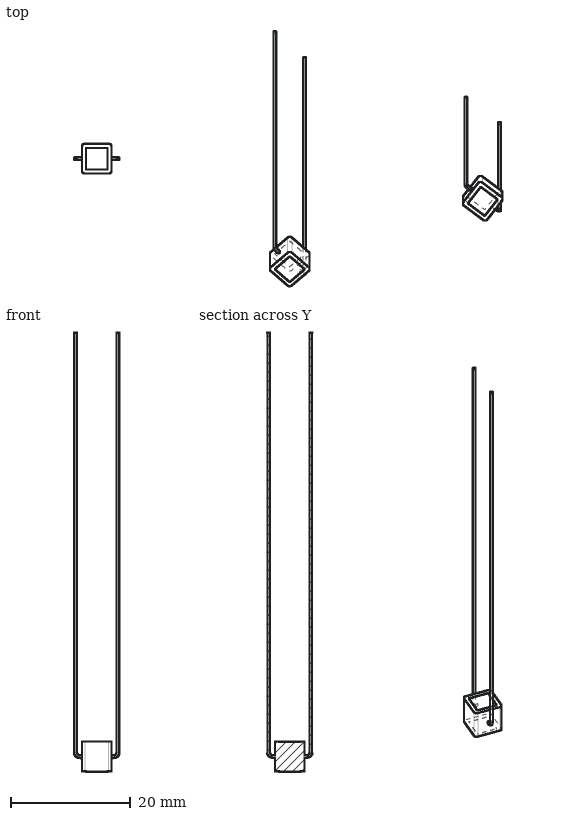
import cadquery as cq

overall_width = 7.56
overall_height = 73.26
body_side = 5.0
body_height = 5.0
body_corner_radius = 0.5
core_side = 3.53
core_offset = 0.06
wire_diameter = 0.5
wire_exit_height = 2.45
bend_rise = 0.75

body_half = body_side / 2
wire_radius = wire_diameter / 2
wire_leg_x = overall_width / 2 - wire_radius
wire_top = overall_height - core_offset
bend_top = wire_exit_height + bend_rise


def make_body():
    """Square block with rounded upright edges."""
    block = cq.Workplane("XY").box(body_side, body_side, body_height, centered=(True, True, False))
    return block.edges("|Z").fillet(body_corner_radius)


def make_core_slab(bottom):
    """Shallow square slab, used for both the foot and the recess."""
    slab = cq.Workplane("XY").workplane(offset=bottom)
    return slab.rect(core_side, core_side).extrude(core_offset)


def make_lead(side):
    """Round lead curving up from a side face into a straight leg; side is -1 or +1."""
    bend_start = (side * body_half, wire_exit_height)
    bend_end = (side * wire_leg_x, bend_top)
    path = (
        cq.Workplane("XZ")
        .moveTo(*bend_start)
        .spline([bend_end], tangents=[(side, 0), (0, 1)], includeCurrent=True)
        .lineTo(side * wire_leg_x, wire_top)
    )
    profile = cq.Workplane("YZ", origin=(side * body_half, 0, wire_exit_height)).circle(wire_radius)
    return profile.sweep(path)


foot = make_core_slab(-core_offset)
recess = make_core_slab(body_height - core_offset)

result = make_body().union(foot).cut(recess)
for side in (-1, 1):
    result = result.union(make_lead(side))